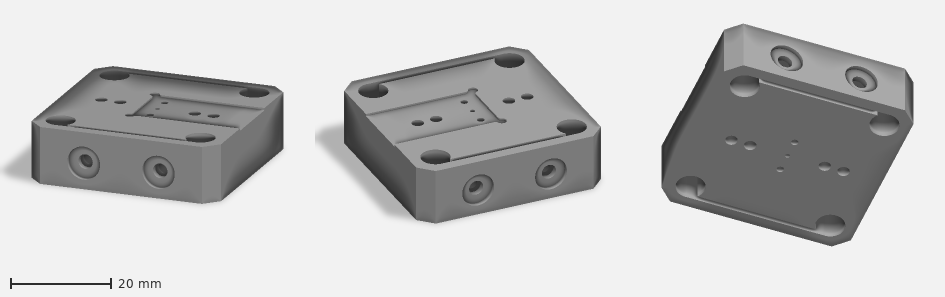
import cadquery as cq

side = 40.6
thickness = 12.0
corner_bevel = 2.95

corner_hole_offset = 15.0
corner_hole_diameter = 6.05
slot_width = 0.97
slot_outer_y = 18.0
slot_inner_y = slot_outer_y - slot_width

pocket_depth = 0.5
pocket_end_x = -3.13
pocket_half_width = 6.82
relief_radius = 1.0
relief_shift = 0.12
relief_blend_radius = 0.7
wall_tolerance = 0.005

port_diameter = 2.5
hole_pitch = 4.0
inner_port_x = 8.0
outer_port_x = inner_port_x + hole_pitch
pin_hole_diameter = 1.5
center_hole_diameter = 1.0

screw_x = inner_port_x
screw_z = 5.52
counterbore_diameter = 7.0
counterbore_depth = 1.0
clearance_diameter = 3.1
tapped_diameter = 2.5
tapped_depth = 8.1


def make_block():
    return (
        cq.Workplane("XY")
        .box(side, side, thickness, centered=(True, True, False))
        .edges("|Z")
        .chamfer(corner_bevel)
    )


def through_holes(points, diameter):
    return cq.Workplane("XY").pushPoints(points).circle(diameter / 2).extrude(thickness)


def make_slot(direction):
    return (
        cq.Workplane("XY")
        .center(0, direction * (slot_inner_y + slot_outer_y) / 2)
        .rect(2 * corner_hole_offset, slot_width)
        .extrude(thickness)
    )


def make_pocket():
    length = side / 2 - pocket_end_x
    floor = cq.Workplane("XY", origin=(0, 0, thickness - pocket_depth))
    pocket = (
        floor.center(pocket_end_x + length / 2, 0)
        .rect(length, 2 * pocket_half_width)
        .extrude(pocket_depth)
    )
    relief_x = pocket_end_x - relief_shift
    relief_y = pocket_half_width + relief_shift
    reliefs = (
        floor.pushPoints([(relief_x, -relief_y), (relief_x, relief_y)])
        .circle(relief_radius)
        .extrude(pocket_depth)
    )
    reach = relief_radius + relief_shift
    blend_zone = cq.selectors.BoxSelector(
        (pocket_end_x - reach, -pocket_half_width - reach, 0),
        (pocket_end_x + reach, pocket_half_width + reach, thickness),
    )
    joined = pocket.union(reliefs)
    blend_edges = joined.edges("|Z").edges(blend_zone)
    corners = blend_edges.filter(
        lambda edge: min(
            abs(edge.Center().x - pocket_end_x),
            abs(abs(edge.Center().y) - pocket_half_width),
        ) < wall_tolerance
    )
    return corners.fillet(relief_blend_radius)


def make_screw_hole(x, direction):
    def bore(diameter, start_y, depth):
        return cq.Solid.makeCylinder(
            diameter / 2,
            depth,
            cq.Vector(x, direction * start_y, screw_z),
            cq.Vector(0, -direction, 0),
        )

    half_side = side / 2
    return (
        cq.Workplane(obj=bore(counterbore_diameter, half_side, counterbore_depth))
        .union(cq.Workplane(obj=bore(clearance_diameter, half_side, half_side - slot_inner_y)))
        .union(cq.Workplane(obj=bore(tapped_diameter, slot_inner_y, tapped_depth)))
    )


corner_points = [(x, y) for x in (-corner_hole_offset, corner_hole_offset)
                 for y in (-corner_hole_offset, corner_hole_offset)]
port_points = [(x, 0) for x in (-outer_port_x, -inner_port_x, inner_port_x, outer_port_x)]
pin_points = [(0, -hole_pitch), (0, hole_pitch)]

result = make_block().cut(make_pocket())
result = result.cut(through_holes(corner_points, corner_hole_diameter))
result = result.cut(through_holes(port_points, port_diameter))
result = result.cut(through_holes(pin_points, pin_hole_diameter))
result = result.cut(through_holes([(0, 0)], center_hole_diameter))

for direction in (-1, 1):
    result = result.cut(make_slot(direction))
    for x in (-screw_x, screw_x):
        result = result.cut(make_screw_hole(x, direction))